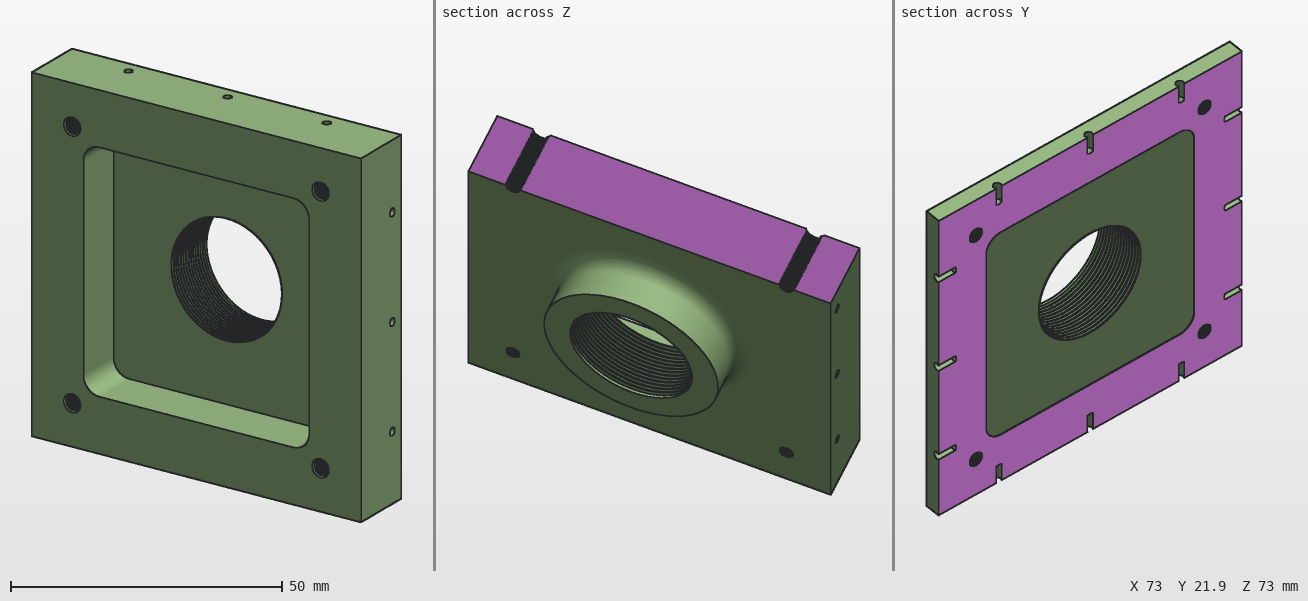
import cadquery as cq
import math

plate_side = 73.0
plate_depth = 13.4
total_depth = 21.9

boss_diameter = 35.05
boss_fillet = 3.0

pocket_side = 50.0
pocket_depth = 10.0
pocket_corner_radius = 3.5

bore_minor = 24.5
bore_major = 25.4
bore_pitch = 0.8

corner_x = 27.5
corner_z = 27.75
corner_minor = 2.6
corner_major = 3.15
corner_pitch = 0.5
countersink_diameter = 3.7

crest_share = 0.25

pin_diameter = 1.6
pin_depth = 4.0
pin_spacing = 22.0
pin_from_back = 3.0
drill_point_angle = 118.0


def solid_of_revolution(points):
    """Revolve a closed (radius, height) profile around the Y axis."""
    profile = cq.Workplane("XY").polyline(points).close()
    return profile.revolve(360, (0, 0, 0), (0, 1, 0))


def threaded_hole(minor, major, pitch, start, end):
    """Hole along Y whose thread is represented by one V-shaped ring groove per pitch."""
    inner = minor / 2
    outer = major / 2
    crest = crest_share * pitch
    root_offset = (crest + pitch) / 2
    points = [(0, start), (inner, start)]
    for turn in range(math.floor((end - start) / pitch)):
        turn_start = start + turn * pitch
        points.append((inner, turn_start + crest))
        points.append((outer, turn_start + root_offset))
        points.append((inner, turn_start + pitch))
    points += [(inner, end), (0, end)]
    return solid_of_revolution(points)


def plate_with_boss():
    """Square plate and its boss, blended by a fillet around the boss foot."""
    plate = cq.Workplane("XZ").rect(plate_side, plate_side).extrude(-plate_depth)
    boss_height = total_depth - plate_depth
    plate_back = cq.Workplane("XZ", origin=(0, plate_depth, 0))
    body = plate.union(plate_back.circle(boss_diameter / 2).extrude(-boss_height))
    boss_foot = body.faces("<Y[1]").edges("%CIRCLE")
    return boss_foot.fillet(boss_fillet)


def pocket():
    """Square pocket with rounded corners."""
    block = cq.Workplane("XZ").rect(pocket_side, pocket_side).extrude(-pocket_depth)
    return block.edges("|Y").fillet(pocket_corner_radius)


def corner_hole():
    """Threaded through hole with a countersunk mouth, centred on the Y axis."""
    mouth_radius = countersink_diameter / 2
    countersink = solid_of_revolution([(0, 0), (mouth_radius, 0), (0, mouth_radius)])
    return threaded_hole(corner_minor, corner_major, corner_pitch, 0, plate_depth).union(countersink)


def pin_hole(x):
    """Drilled hole with a conical end, going down from the top edge face."""
    radius = pin_diameter / 2
    point_length = radius / math.tan(math.radians(drill_point_angle / 2))
    profile = [(0, 0), (radius, 0), (radius, -pin_depth), (0, -pin_depth - point_length)]
    hole = solid_of_revolution(profile).rotate((0, 0, 0), (1, 0, 0), 90)
    return hole.translate((x, plate_depth - pin_from_back, plate_side / 2))


result = plate_with_boss()
result = result.cut(pocket())
result = result.cut(threaded_hole(bore_minor, bore_major, bore_pitch, pocket_depth, total_depth))

hole = corner_hole()
for x_side in (-1, 1):
    for z_side in (-1, 1):
        result = result.cut(hole.translate((x_side * corner_x, 0, z_side * corner_z)))

for pin_x in (-pin_spacing, 0, pin_spacing):
    for edge_angle in (0, 90, 180, 270):
        result = result.cut(pin_hole(pin_x).rotate((0, 0, 0), (0, 1, 0), edge_angle))